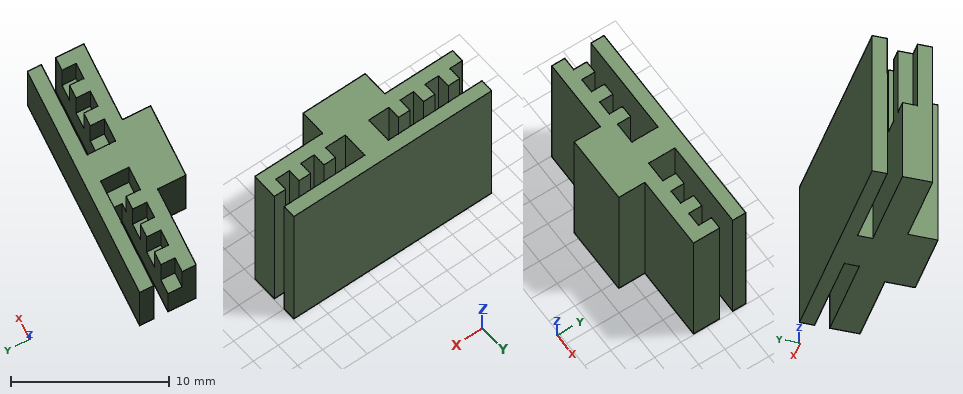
import cadquery as cq

length = 15.9
width = 6.0
height = 11.0

layer_count = 6
layer = width / layer_count
rib_depth = 2 * layer
front_plate_thickness = 2 * layer
gap = layer
back_plate_thickness = layer

front_plate_y = rib_depth
gap_y = front_plate_y + front_plate_thickness
back_plate_y = gap_y + gap

rib_width = 5.0
web_width = 2.93
web_left = (length - web_width) / 2
web_right = web_left + web_width

notch_height = 5.0
notch_depth = layer
notch_y = gap_y - notch_depth
notch_bottom = height - notch_height
notch_width = 1.08
notch_pitch = 2 * layer
first_notch_start = -0.08

web_cut = 1.03


def block(x_span, y_start, depth, z_start=0.0):
    """Box over an X span, from z_start up to the top of the part."""
    x_start, x_end = x_span
    return cq.Workplane("XY").box(
        x_end - x_start, depth, height - z_start, centered=False
    ).translate((x_start, y_start, z_start))


full_span = (0, length)
web_span = (web_left, web_right)
rib_span = ((length - rib_width) / 2, (length + rib_width) / 2)

body = block(full_span, front_plate_y, front_plate_thickness)
body = body.union(block(full_span, back_plate_y, back_plate_thickness))
body = body.union(block(web_span, gap_y, gap))
body = body.union(block(rib_span, 0, rib_depth))

web_cut_span = (web_left, web_left + web_cut)
left_inner_notch = 3
right_inner_notch = 5
for index in (0, 1, 2, left_inner_notch, right_inner_notch, 6, 7):
    notch_start = first_notch_start + index * notch_pitch
    notch_end = notch_start + notch_width
    if index == left_inner_notch:
        notch_end = web_cut_span[1]
    if index == right_inner_notch:
        notch_start = web_right
    body = body.cut(block((notch_start, notch_end), notch_y, notch_depth, notch_bottom))

body = body.cut(block(web_cut_span, gap_y, gap, notch_bottom))

result = body